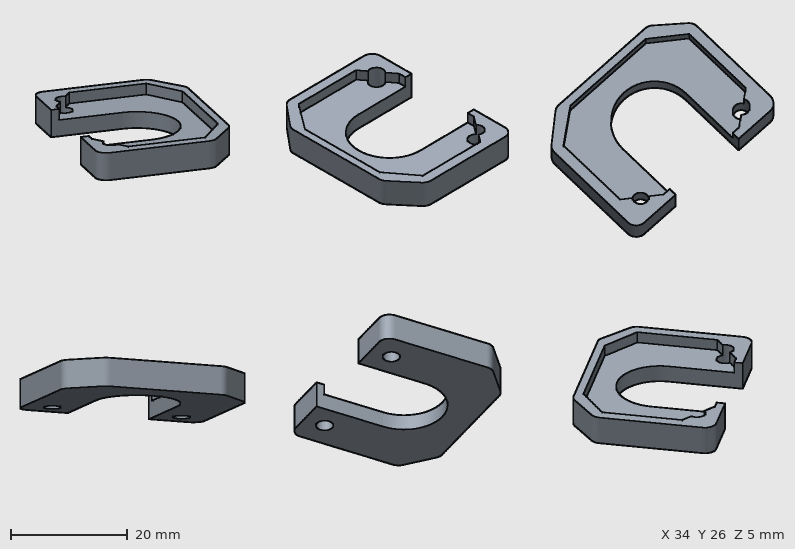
import cadquery as cq

width = 34.0
depth = 26.0
height = 5.0
corner_radius = 2.0
rear_cut_x = 6.0
rear_cut_y = 5.0

recess_depth = 2.0
side_wall = 2.0
end_wall = 1.5
recess_cut_x = 6.0
recess_cut_y = 4.5

slot_width = 15.0
slot_center_y = 13.0

hole_diameter = 3.0
hole_spacing = 24.0
hole_y = 4.0

half_width = width / 2


def make_plate():
    """Plate with bevelled rear corners and every vertical edge rounded."""
    outline = [
        (-half_width, 0),
        (half_width, 0),
        (half_width, depth - rear_cut_y),
        (half_width - rear_cut_x, depth),
        (-half_width + rear_cut_x, depth),
        (-half_width, depth - rear_cut_y),
    ]
    plate = cq.Workplane("XY").polyline(outline).close().extrude(height)
    return plate.edges("|Z").fillet(corner_radius)


def make_recess():
    """Rectangular recess with all four corners bevelled."""
    side_x = half_width - side_wall
    end_x = side_x - recess_cut_x
    front_y = end_wall
    rear_y = depth - end_wall
    outline = [
        (-end_x, front_y),
        (end_x, front_y),
        (side_x, front_y + recess_cut_y),
        (side_x, rear_y - recess_cut_y),
        (end_x, rear_y),
        (-end_x, rear_y),
        (-side_x, rear_y - recess_cut_y),
        (-side_x, front_y + recess_cut_y),
    ]
    floor = cq.Workplane("XY").workplane(offset=height - recess_depth)
    return floor.polyline(outline).close().extrude(recess_depth)


def make_slot():
    """Slot open at the front, running through the full height."""
    radius = slot_width / 2
    return (
        cq.Workplane("XY")
        .moveTo(-radius, 0)
        .lineTo(radius, 0)
        .lineTo(radius, slot_center_y)
        .threePointArc((0, slot_center_y + radius), (-radius, slot_center_y))
        .close()
        .extrude(height)
    )


def make_holes():
    """Pair of through holes placed symmetrically about the slot."""
    centers = [(side * hole_spacing / 2, hole_y) for side in (-1, 1)]
    return cq.Workplane("XY").pushPoints(centers).circle(hole_diameter / 2).extrude(height)


result = make_plate().cut(make_recess()).cut(make_slot()).cut(make_holes())